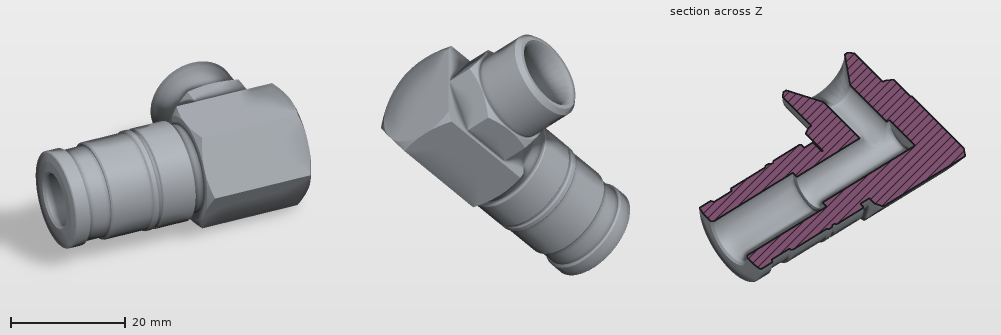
import cadquery as cq
import math

block_flats = 19.0
block_length = 20.0
corner_angle = math.radians(30)
block_corner_x = block_flats / 2 * math.tan(corner_angle)

port_end_x = -20.02
port_hex_flats = 17.0
port_hex_x = -11.05
tube_radius = 8.0
tube_chamfer = 0.8
cone_mouth_radius = 6.5
cone_depth = 6.05
port_bore_radius = 2.95

stub_length = 25.0
neck_radius = 8.0
collar_radius = 9.05
body_radius = 8.78
groove_radius = 8.75
recess_radius = 8.25
nose_radius = 7.0
collar_start = 1.9
collar_end = 8.05
groove_start = 8.3
groove_end = 8.75
ring_start = 9.05
ring_end = 9.8
body_start = 10.1
body_end = 17.9
flange_start = 21.85
flange_end = 24.8
collar_chamfer = 0.2
body_chamfer = 0.25
flange_chamfer = 0.2

socket_radius = 4.75
socket_chamfer = 0.4
socket_depth = 18.0
inner_bore_radius = 3.6
inner_bore_end_y = 3.6


def revolved(points, axis_direction):
    """Revolve a closed XY outline about an axis through the origin."""
    return cq.Workplane("XY").polyline(points).close().revolve(360, (0, 0, 0), axis_direction)


def chamfered_hex(flats, length):
    """Hexagonal bar along Z with vertices on X and 30 degree corner chamfers at both ends."""
    face_radius = flats / 2
    corner_radius = face_radius / math.cos(corner_angle)
    drop = (corner_radius - face_radius) * math.tan(corner_angle)
    envelope = (
        cq.Workplane("XZ")
        .polyline(
            [
                (0, 0),
                (face_radius, 0),
                (corner_radius, drop),
                (corner_radius, length - drop),
                (face_radius, length),
                (0, length),
            ]
        )
        .close()
        .revolve(360, (0, 0, 0), (0, 1, 0))
    )
    return cq.Workplane("XY").polygon(6, 2 * corner_radius).extrude(length).intersect(envelope)


def elbow_block():
    bar = chamfered_hex(block_flats, block_length)
    bar = bar.rotate((0, 0, 0), (1, 0, 0), 90).translate((0, block_length / 2, 0))
    keep_size = 2 * block_length
    keep = cq.Workplane("XY").box(keep_size, keep_size, keep_size, centered=(False, True, True))
    return bar.intersect(keep.translate((-block_corner_x, 0, 0)))


def side_port():
    nut = chamfered_hex(port_hex_flats, -port_hex_x)
    nut = nut.rotate((0, 0, 0), (0, 0, 1), 90).rotate((0, 0, 0), (0, 1, 0), 90)
    nut = nut.translate((port_hex_x, 0, 0))
    tube = revolved(
        [
            (-block_corner_x, 0),
            (port_end_x, 0),
            (port_end_x, tube_radius - tube_chamfer),
            (port_end_x + tube_chamfer, tube_radius),
            (-block_corner_x, tube_radius),
        ],
        (1, 0, 0),
    )
    return nut.union(tube)


def stub():
    profile = [
        (0, 0),
        (neck_radius, 0),
        (neck_radius, collar_start),
        (collar_radius - collar_chamfer, collar_start),
        (collar_radius, collar_start + collar_chamfer),
        (collar_radius, collar_end),
        (groove_radius, groove_start),
        (groove_radius, groove_end),
        (collar_radius, ring_start),
        (collar_radius, ring_end),
        (body_radius, body_start),
        (body_radius, body_end - body_chamfer),
        (body_radius - body_chamfer, body_end),
        (recess_radius, body_end),
        (recess_radius, flange_start),
        (body_radius - body_chamfer, flange_start),
        (body_radius, flange_start + body_chamfer),
        (body_radius, flange_end - flange_chamfer),
        (body_radius - flange_chamfer, flange_end),
        (nose_radius, stub_length),
        (0, stub_length),
    ]
    return revolved([(r, -block_length / 2 - d) for r, d in profile], (0, 1, 0))


def stub_bore():
    mouth_y = -block_length / 2 - stub_length
    return revolved(
        [
            (0, mouth_y),
            (socket_radius + socket_chamfer, mouth_y),
            (socket_radius, mouth_y + socket_chamfer),
            (socket_radius, mouth_y + socket_depth),
            (inner_bore_radius, mouth_y + socket_depth),
            (inner_bore_radius, inner_bore_end_y),
            (0, inner_bore_end_y),
        ],
        (0, 1, 0),
    )


def port_bore():
    return revolved(
        [
            (port_end_x, 0),
            (port_end_x, cone_mouth_radius),
            (port_end_x + cone_depth, port_bore_radius),
            (0, port_bore_radius),
            (0, 0),
        ],
        (1, 0, 0),
    )


result = elbow_block().union(side_port()).union(stub()).cut(stub_bore()).cut(port_bore())